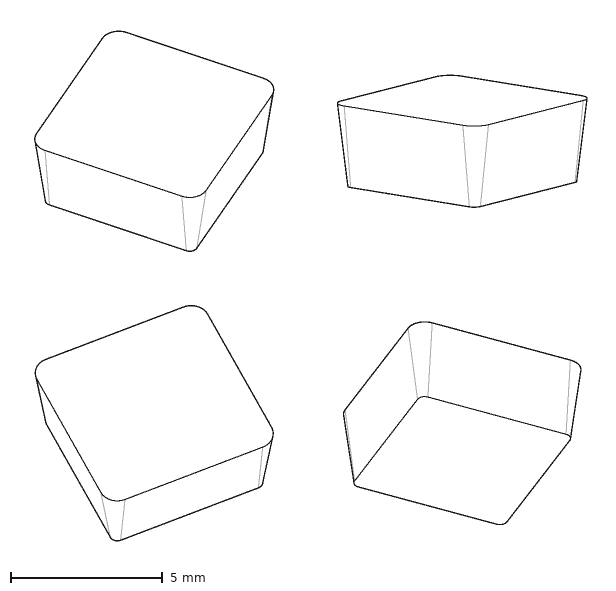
import cadquery as cq

top_width = 6.2
thickness = 2.8
top_corner_radius = 0.6
clearance_angle = 7.0

top_outline = cq.Sketch().rect(top_width, top_width).vertices().fillet(top_corner_radius)

result = (
    cq.Workplane("XY", origin=(0, 0, thickness))
    .placeSketch(top_outline)
    .extrude(-thickness, taper=clearance_angle)
)